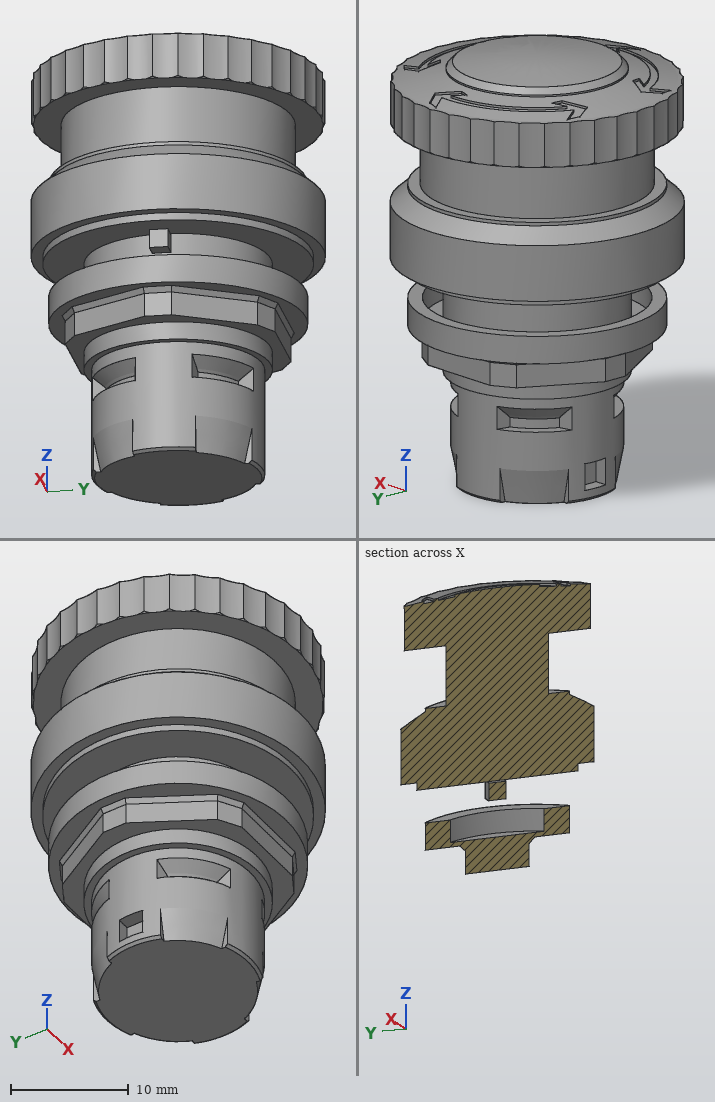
import cadquery as cq
import math


plug_dia = 14.7
plug_top = 9.7
plug_edge_chamfer = 0.25

diagonal_count = 4
first_diagonal = 45.0
window_bottom = 6.55
window_top = 8.6
window_floor_dia = 12.6
window_lip_dia = 12.9
window_lip_top = 7.62
window_lip_bottom = 7.4
window_outer_half_width = 3.18
window_inner_half_width = 2.1
notch_height = 3.08
notch_outer_half_width = 2.92
notch_inner_half_width = 2.5
notch_bottom_dia = 13.5

cutter_overshoot = 1.0

pocket_width = 2.38
pocket_bottom = 0.97
pocket_depth = 1.3

shaft_dia = 16.0
key_width = 1.6
key_reach = 9.5
key_bottom = 17.5
key_top = 19.1

hex_sides = 6
hex_across_flats = 18.1
hex_across_corner_flats = 19.55
hex_bottom = 11.25
hex_flare_bottom = 13.3
hex_flare_width = 0.25
nut_flange_dia = 22.0
nut_flange_bottom = 13.8
nut_flange_top = 16.25
nut_recess_dia = 19.5
nut_recess_depth = 2.0

bezel_dia = 25.0
bezel_seat_dia = 23.0
bezel_rim_dia = 22.0
bezel_seat_bottom = 19.2
bezel_bottom = 19.85
bezel_bevel_bottom = 24.8
bezel_bevel_top = 26.1
bezel_top = 26.4

neck_dia = 19.9
cap_dia = 25.0
cap_top_dia = 24.9
cap_bottom = 31.7
cap_rim_top = 35.65
cap_bottom_chamfer = 0.2
cap_cone_dia = 24.0
cap_cone_bottom = 35.7
cap_cone_top = 36.55
dome_base_dia = 15.5
dome_base = 36.7
dome_edge_dia = 14.4
dome_edge = 37.25
part_height = 37.81

scallop_count = 36
scallop_radius = 4.0
scallop_valley_radius = 12.25

arrow_count = 3
arrow_depth = 0.2
arrow_outer_radius = 10.3
arrow_inner_radius = 9.6

arrow_tip = (10.1, 42.0)
arrow_outer_barb_front = (11.5, 35.5)
arrow_outer_barb_back = (11.85, 29.4)
arrow_outer_root = (arrow_outer_radius, 34.7)
arrow_inner_root = (arrow_inner_radius, 32.4)
arrow_inner_barb_back = (8.86, 25.2)
arrow_inner_barb_front = (8.57, 31.3)


def polar(radius, angle):
    """Point at a radius and an angle in degrees."""
    turn = math.radians(angle)
    return (radius * math.cos(turn), radius * math.sin(turn))


def revolve(sketch):
    """Revolve a closed (radius, height) outline about the Z axis."""
    return sketch.close().revolve(360, (0, 0, 0), (0, 1, 0))


def cylinder(diameter, bottom, top):
    return cq.Workplane("XY").workplane(offset=bottom).circle(diameter / 2).extrude(top - bottom)


def around_axis(body, count, first_angle=0.0):
    """Copies of a body evenly spaced about the Z axis."""
    copies = cq.Workplane("XY")
    for i in range(count):
        copies = copies.add(body.rotate((0, 0, 0), (0, 0, 1), first_angle + i * 360 / count))
    return copies.combine()


def make_splayed_prism(bottom, top, floor_dia, inner_half_width, outer_half_width):
    """Upright prism on +X that widens from a round floor out to the plug surface and beyond."""
    plug_radius = plug_dia / 2
    inner_x = math.sqrt((floor_dia / 2) ** 2 - inner_half_width**2)
    outer_x = math.sqrt(plug_radius**2 - outer_half_width**2)
    splay = (outer_half_width - inner_half_width) / (outer_x - inner_x)
    near_x = inner_x / 2
    far_x = plug_radius + cutter_overshoot
    far_half_width = inner_half_width + splay * (far_x - inner_x)
    return (
        cq.Workplane("XY")
        .workplane(offset=bottom)
        .moveTo(near_x, -inner_half_width)
        .lineTo(inner_x, -inner_half_width)
        .lineTo(far_x, -far_half_width)
        .lineTo(far_x, far_half_width)
        .lineTo(inner_x, inner_half_width)
        .lineTo(near_x, inner_half_width)
        .close()
        .extrude(top - bottom)
    )


def make_window_cutter():
    """Window with splayed side walls, a curved floor and a conical roof ending in a small lip."""
    prism = make_splayed_prism(
        window_bottom, window_top, window_floor_dia, window_inner_half_width, window_outer_half_width
    )
    ring = revolve(
        cq.Workplane("XZ")
        .moveTo(window_floor_dia / 2, window_bottom)
        .lineTo(plug_dia, window_bottom)
        .lineTo(plug_dia, window_top)
        .lineTo(plug_dia / 2, window_top)
        .lineTo(window_lip_dia / 2, window_lip_top)
        .lineTo(window_floor_dia / 2, window_lip_bottom)
    )
    return prism.intersect(ring)


def make_notch_cutter():
    """Notch with splayed side walls whose conical floor deepens toward the bottom end."""
    prism = make_splayed_prism(
        0, notch_height, notch_bottom_dia, notch_inner_half_width, notch_outer_half_width
    )
    ring = revolve(
        cq.Workplane("XZ")
        .moveTo(notch_bottom_dia / 2, 0)
        .lineTo(plug_dia, 0)
        .lineTo(plug_dia, notch_height)
        .lineTo(plug_dia / 2, notch_height)
    )
    return prism.intersect(ring)


def make_plug():
    plug = cylinder(plug_dia, 0, plug_top).faces("<Z").chamfer(plug_edge_chamfer)
    plug = plug.cut(around_axis(make_window_cutter(), diagonal_count, first_diagonal))
    plug = plug.cut(around_axis(make_notch_cutter(), diagonal_count, first_diagonal))
    pocket = (
        cq.Workplane("XY")
        .box(2 * pocket_depth, pocket_width, pocket_width, centered=(True, True, False))
        .translate((-plug_dia / 2, 0, pocket_bottom))
    )
    return plug.cut(pocket)


def make_shaft():
    shaft = cylinder(shaft_dia, plug_top, bezel_seat_bottom)
    key = (
        cq.Workplane("XY")
        .box(key_reach, key_width, key_top - key_bottom, centered=(False, True, False))
        .translate((0, 0, key_bottom))
    )
    return shaft.union(key)


def make_hexagon(across_flats, bottom, height, taper=0.0):
    """Hexagonal prism with two flats facing +Y and -Y."""
    across_corners = across_flats / math.cos(math.pi / hex_sides)
    return (
        cq.Workplane("XY")
        .workplane(offset=bottom)
        .polygon(hex_sides, across_corners)
        .extrude(height, taper=taper)
    )


def make_flattened_hexagon(bottom, height, taper=0.0):
    corner_flats = make_hexagon(hex_across_corner_flats, bottom, height, taper)
    corner_flats = corner_flats.rotate((0, 0, 0), (0, 0, 1), 180 / hex_sides)
    return make_hexagon(hex_across_flats, bottom, height, taper).intersect(corner_flats)


def make_nut():
    flare_height = nut_flange_bottom - hex_flare_bottom
    flare_angle = math.degrees(math.atan2(hex_flare_width, flare_height))
    nut = cylinder(nut_flange_dia, nut_flange_bottom, nut_flange_top)
    recess = cylinder(nut_recess_dia, nut_flange_top - nut_recess_depth, nut_flange_top)
    nut = nut.cut(recess)
    nut = nut.union(make_flattened_hexagon(hex_bottom, hex_flare_bottom - hex_bottom))
    return nut.union(make_flattened_hexagon(hex_flare_bottom, flare_height, -flare_angle))


def make_bezel():
    return revolve(
        cq.Workplane("XZ")
        .moveTo(0, bezel_seat_bottom)
        .lineTo(bezel_seat_dia / 2, bezel_seat_bottom)
        .lineTo(bezel_seat_dia / 2, bezel_bottom)
        .lineTo(bezel_dia / 2, bezel_bottom)
        .lineTo(bezel_dia / 2, bezel_bevel_bottom)
        .lineTo(bezel_rim_dia / 2, bezel_bevel_top)
        .lineTo(bezel_rim_dia / 2, bezel_top)
        .lineTo(0, bezel_top)
    )


def make_cap_blank():
    dome_rise = part_height - dome_edge
    dome_edge_radius = dome_edge_dia / 2
    dome_radius = (dome_edge_radius**2 + dome_rise**2) / (2 * dome_rise)
    mid_angle = math.asin(dome_edge_radius / dome_radius) / 2
    dome_mid = (
        dome_radius * math.sin(mid_angle),
        part_height - dome_radius * (1 - math.cos(mid_angle)),
    )
    return revolve(
        cq.Workplane("XZ")
        .moveTo(0, cap_bottom)
        .lineTo(cap_dia / 2 - cap_bottom_chamfer, cap_bottom)
        .lineTo(cap_dia / 2, cap_bottom + cap_bottom_chamfer)
        .lineTo(cap_top_dia / 2, cap_rim_top)
        .lineTo(cap_cone_dia / 2, cap_cone_bottom)
        .lineTo(dome_base_dia / 2, cap_cone_top)
        .lineTo(dome_base_dia / 2, dome_base)
        .lineTo(dome_edge_dia / 2, dome_edge)
        .threePointArc(dome_mid, (0, part_height))
    )


def make_scallop_cutters():
    scallop = cylinder(2 * scallop_radius, cap_bottom, dome_base)
    scallop = scallop.translate((scallop_valley_radius + scallop_radius, 0, 0))
    pitch = 360 / scallop_count
    return around_axis(scallop, scallop_count, pitch / 2)


def make_arrow_prism():
    """Double-headed curved arrow centred on +X, standing through the cap cone."""

    def upper(point):
        return polar(*point)

    def lower(point):
        radius, angle = point
        return polar(radius, -angle)

    return (
        cq.Workplane("XY")
        .workplane(offset=cap_rim_top - arrow_depth)
        .moveTo(*upper(arrow_tip))
        .lineTo(*upper(arrow_outer_barb_front))
        .lineTo(*upper(arrow_outer_barb_back))
        .lineTo(*upper(arrow_outer_root))
        .threePointArc((arrow_outer_radius, 0), lower(arrow_outer_root))
        .lineTo(*lower(arrow_outer_barb_back))
        .lineTo(*lower(arrow_outer_barb_front))
        .lineTo(*lower(arrow_tip))
        .lineTo(*lower(arrow_inner_barb_front))
        .lineTo(*lower(arrow_inner_barb_back))
        .lineTo(*lower(arrow_inner_root))
        .threePointArc((arrow_inner_radius, 0), upper(arrow_inner_root))
        .lineTo(*upper(arrow_inner_barb_back))
        .lineTo(*upper(arrow_inner_barb_front))
        .close()
        .extrude(dome_base + arrow_depth - cap_rim_top)
    )


def make_cap():
    blank = make_cap_blank()
    arrow_floor = blank.translate((0, 0, -arrow_depth))
    arrow = make_arrow_prism().cut(arrow_floor)
    cap = blank.cut(make_scallop_cutters())
    return cap.cut(around_axis(arrow, arrow_count))


neck = cylinder(neck_dia, bezel_top, cap_bottom)
result = make_plug()
for section in (make_shaft(), make_nut(), make_bezel(), neck, make_cap()):
    result = result.union(section)